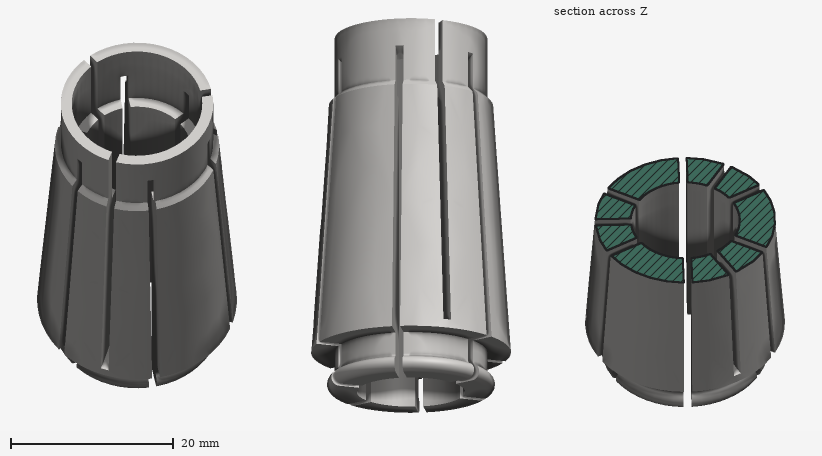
import cadquery as cq
import math

height = 45.1
bore_radius = 6.67
collar_bore_radius = 8.05
collar_bore_floor_z = 35.65
neck_radius = 9.4

cone_bottom_z = 5.05
cone_top_z = 36.55
cone_bottom_radius = 24.6 / 2
cone_top_radius = 10.1
shoulder = cone_top_radius - neck_radius

bead_radius = 1.0
bead_centre_r = 9.35
bead_fillet = 0.4

slot_width = 1.0
blade_radius = 10.0
blade_reach_r = 18.05
end_clearance = 0.45

lower_slot_count = 6
lower_slot_start_angle = 30.0
lower_blade_axis_r = 15.88
lower_blade_axis_z = 34.05

upper_slot_count = 3
upper_slot_start_angle = 60.0
upper_slot_floor_z = 6.15
upper_blade_axis_r = cone_bottom_radius
upper_blade_axis_z = upper_slot_floor_z + blade_radius


def make_sleeve():
    """Revolve the half section, with radius along X and height along Z."""
    fillet_centre_r = neck_radius + bead_fillet
    centre_distance = bead_radius + bead_fillet
    centre_dr = fillet_centre_r - bead_centre_r
    centre_dz = math.sqrt(centre_distance**2 - centre_dr**2)
    fillet_centre_z = bead_radius + centre_dz

    bead_share = bead_radius / centre_distance
    tangent_point = (bead_centre_r + centre_dr * bead_share, bead_radius + centre_dz * bead_share)
    bead_outermost = (bead_centre_r + bead_radius, bead_radius)

    tangent_angle = math.atan2(centre_dz, centre_dr)
    half_angle = tangent_angle / 2
    fillet_middle = (
        fillet_centre_r - bead_fillet * math.cos(half_angle),
        fillet_centre_z - bead_fillet * math.sin(half_angle),
    )

    section = (
        cq.Workplane("XZ")
        .moveTo(bore_radius, 0)
        .lineTo(bead_centre_r, 0)
        .threePointArc(bead_outermost, tangent_point)
        .threePointArc(fillet_middle, (neck_radius, fillet_centre_z))
        .lineTo(neck_radius, cone_bottom_z)
        .lineTo(cone_bottom_radius, cone_bottom_z)
        .lineTo(cone_top_radius, cone_top_z)
        .lineTo(neck_radius, cone_top_z + shoulder)
        .lineTo(neck_radius, height)
        .lineTo(collar_bore_radius, height)
        .lineTo(collar_bore_radius, collar_bore_floor_z)
        .lineTo(bore_radius, collar_bore_floor_z)
        .close()
    )
    return section.revolve(360, (0, 0, 0), (0, 1, 0))


def make_slot(axis_r, axis_z, open_z):
    """One radial saw cut on the +X side, running from the blade's arc to the open end."""
    closed_direction = 1 if axis_z > open_z else -1
    diagonal = blade_radius / math.sqrt(2)
    inner_r = axis_r - blade_radius
    closed_z = axis_z + closed_direction * blade_radius
    return (
        cq.Workplane("XZ")
        .moveTo(inner_r, open_z)
        .lineTo(inner_r, axis_z)
        .threePointArc(
            (axis_r - diagonal, axis_z + closed_direction * diagonal),
            (axis_r, closed_z),
        )
        .lineTo(blade_reach_r, closed_z)
        .lineTo(blade_reach_r, open_z)
        .close()
        .extrude(slot_width / 2, both=True)
    )


def cut_around(body, slot, count, start_angle):
    """Cut equally spaced copies of a slot around Z."""
    for index in range(count):
        angle = start_angle + index * 360 / count
        body = body.cut(slot.rotate((0, 0, 0), (0, 0, 1), angle))
    return body


lower_slot = make_slot(lower_blade_axis_r, lower_blade_axis_z, -end_clearance)
upper_slot = make_slot(upper_blade_axis_r, upper_blade_axis_z, height + end_clearance)

result = make_sleeve()
result = cut_around(result, lower_slot, lower_slot_count, lower_slot_start_angle)
result = cut_around(result, upper_slot, upper_slot_count, upper_slot_start_angle)